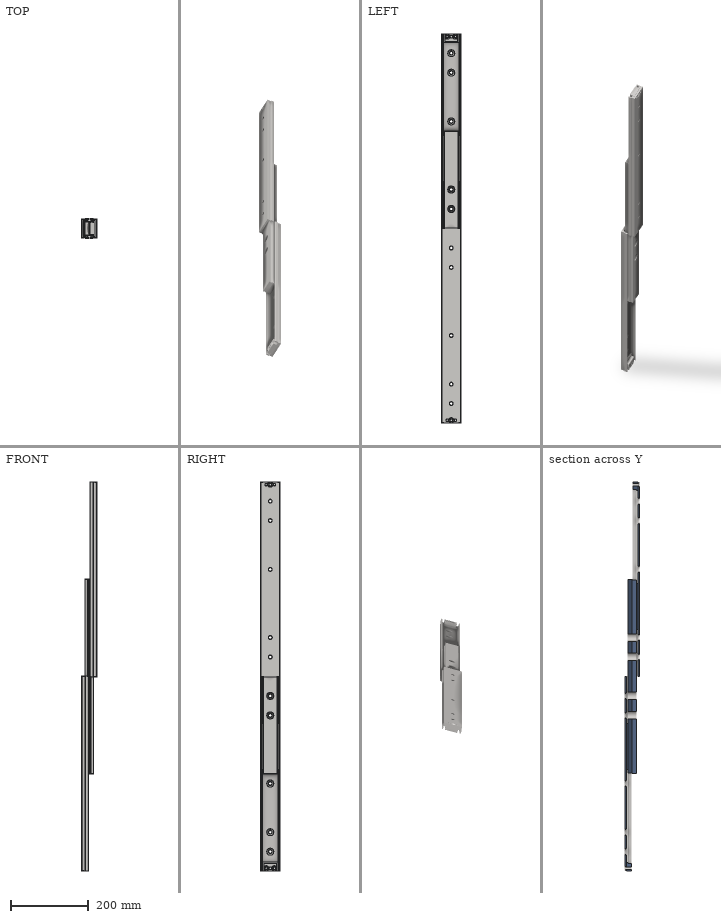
import cadquery as cq


TOTAL_LENGTH = 1000.0
TOTAL_DEPTH = 39.0
TOTAL_WIDTH = 51.0
HALF_LENGTH = TOTAL_LENGTH / 2
STOP_OVERHANG = 1.0

RAIL_DEPTH = TOTAL_DEPTH / 2
RAIL_HALF_WIDTH = TOTAL_WIDTH / 2
WEB_THICKNESS = 5.0
WEB_INNER = RAIL_DEPTH - WEB_THICKNESS
LIP_DEPTH = 1.5
LIP_BEVEL_END = 3.5
LIP_HALF_WIDTH = RAIL_HALF_WIDTH - 0.5
MOUTH_HALF_WIDTH = 22.0
CHANNEL_HALF_WIDTH = 20.0
GROOVE_TOP = 9.5
GROOVE_ROOT = GROOVE_TOP + 1.0
GROOVE_END = RAIL_DEPTH - 2.0
GROOVE_ROOT_HALF_WIDTH = RAIL_HALF_WIDTH - 1.9
WEB_HALF_WIDTH = RAIL_HALF_WIDTH - 1.2

RAIL_HOLES = (50.0, 100.0, 225.0, 400.0, 450.0)
RAIL_HOLE_DIAMETER = 9.0
RAIL_SINK_DIAMETER = 18.0

MEMBER_LENGTH = 499.0
MEMBER_TOP = 750.0
MEMBER_DEPTH = 11.0
MEMBER_FACE_WIDTH = 35.0
MEMBER_FACE_HALF_WIDTH = MEMBER_FACE_WIDTH / 2
MEMBER_RIM_DEPTH = 2.5
MEMBER_RIM_HALF_WIDTH = MEMBER_FACE_HALF_WIDTH + 1.0
MEMBER_ROOT_DEPTH = 4.7
MEMBER_ROOT_HALF_WIDTH = MEMBER_FACE_HALF_WIDTH - 0.6
MEMBER_FLANK_DEPTH = 8.5
MEMBER_FLANK_HALF_WIDTH = MEMBER_FACE_HALF_WIDTH - 0.5
ACCESS_HOLES = (400.0, 450.0, 550.0, 600.0)
ACCESS_HOLE_DIAMETER = 18.0

CAGE_LEG_TIP = 4.0
CAGE_LEG_INNER = 18.0
CAGE_BACK_INNER = 12.0
CAGE_BACK_OUTER = 14.0
CAGE_BOTTOM = 260.0
CAGE_LENGTH = 120.0

PLATE_HALF_WIDTH = 20.0
PLATE_LENGTH = 23.0
PLATE_INNER = 10.0
BUFFER_HALF_WIDTH = 16.0
BUFFER_LENGTH = 20.0
STOP_HOLE_HEIGHT = 7.5
STOP_HOLE_SPACING = 21.0
STOP_HOLE_OFFSET = STOP_HOLE_SPACING / 2
STOP_HOLE_DIAMETER = 6.0
STOP_SINK_DIAMETER = 13.0


def symmetric_prism(half_outline, length):
    """Extrude along Z the outline whose +Y half is given from the mid-line round to it."""
    return half_outline.mirrorX().extrude(length)


def hole_along_x(diameter, y, z):
    """Cylinder crossing the whole slide along X."""
    hole = cq.Workplane("YZ").center(y, z).circle(diameter / 2)
    return hole.extrude(RAIL_DEPTH, both=True)


def countersink(hole_diameter, sink_diameter, face_x, direction, y, z):
    """45 degree cone: full size at face_x, narrowing to the hole along +X or -X."""
    cone = cq.Solid.makeCone(
        sink_diameter / 2,
        hole_diameter / 2,
        (sink_diameter - hole_diameter) / 2,
        pnt=cq.Vector(face_x, y, z),
        dir=cq.Vector(direction, 0, 0),
    )
    return cq.Workplane(cone)


def drill_stop_holes(body):
    """Two side holes and a middle hole through the end of a rail and its stop."""
    for y in (-STOP_HOLE_OFFSET, 0, STOP_HOLE_OFFSET):
        body = body.cut(hole_along_x(STOP_HOLE_DIAMETER, y, STOP_HOLE_HEIGHT))
    return body


def make_rail():
    """Lower rail: channel with its web on the -X side, open towards +X."""
    half_outline = (
        cq.Workplane("XY")
        .moveTo(-RAIL_DEPTH, 0)
        .lineTo(-RAIL_DEPTH, WEB_HALF_WIDTH)
        .lineTo(-GROOVE_END, WEB_HALF_WIDTH)
        .lineTo(-GROOVE_ROOT, GROOVE_ROOT_HALF_WIDTH)
        .lineTo(-GROOVE_TOP, RAIL_HALF_WIDTH)
        .lineTo(-LIP_BEVEL_END, RAIL_HALF_WIDTH)
        .lineTo(-LIP_DEPTH, LIP_HALF_WIDTH)
        .lineTo(-LIP_DEPTH, MOUTH_HALF_WIDTH)
        .lineTo(-GROOVE_TOP, MOUTH_HALF_WIDTH)
        .lineTo(-GROOVE_ROOT, CHANNEL_HALF_WIDTH)
        .lineTo(-WEB_INNER, CHANNEL_HALF_WIDTH)
        .lineTo(-WEB_INNER, 0)
    )
    rail = symmetric_prism(half_outline, HALF_LENGTH).translate((0, 0, STOP_OVERHANG))
    for z in RAIL_HOLES:
        rail = rail.cut(hole_along_x(RAIL_HOLE_DIAMETER, 0, z))
        rail = rail.cut(countersink(RAIL_HOLE_DIAMETER, RAIL_SINK_DIAMETER, -WEB_INNER, -1, 0, z))
    rail = drill_stop_holes(rail)
    return rail.cut(
        countersink(STOP_HOLE_DIAMETER, STOP_SINK_DIAMETER, -RAIL_DEPTH, 1, 0, STOP_HOLE_HEIGHT)
    )


def make_member():
    """Middle member that runs in the lower rail, its back on the mid-plane."""
    half_outline = (
        cq.Workplane("XY")
        .moveTo(0, 0)
        .lineTo(0, MEMBER_RIM_HALF_WIDTH)
        .lineTo(-MEMBER_RIM_DEPTH, MEMBER_RIM_HALF_WIDTH)
        .lineTo(-MEMBER_ROOT_DEPTH, MEMBER_ROOT_HALF_WIDTH)
        .threePointArc(
            (-MEMBER_FLANK_DEPTH, MEMBER_FLANK_HALF_WIDTH),
            (-MEMBER_DEPTH, MEMBER_FACE_HALF_WIDTH),
        )
        .lineTo(-MEMBER_DEPTH, 0)
    )
    member = symmetric_prism(half_outline, MEMBER_LENGTH).translate((0, 0, MEMBER_TOP - MEMBER_LENGTH))
    for z in ACCESS_HOLES:
        member = member.cut(hole_along_x(ACCESS_HOLE_DIAMETER, 0, z))
    return member


def make_cage():
    """Ball cage of the lower slide: legs beside the member, back between member and web."""
    half_outline = (
        cq.Workplane("XY")
        .moveTo(-CAGE_BACK_OUTER, 0)
        .lineTo(-CAGE_BACK_OUTER, CHANNEL_HALF_WIDTH)
        .lineTo(-GROOVE_ROOT, CHANNEL_HALF_WIDTH)
        .lineTo(-GROOVE_TOP, MOUTH_HALF_WIDTH)
        .lineTo(-CAGE_LEG_TIP, MOUTH_HALF_WIDTH)
        .lineTo(-CAGE_LEG_TIP, CAGE_LEG_INNER)
        .lineTo(-CAGE_BACK_INNER, CAGE_LEG_INNER)
        .lineTo(-CAGE_BACK_INNER, 0)
    )
    return symmetric_prism(half_outline, CAGE_LENGTH).translate((0, 0, CAGE_BOTTOM))


def make_stop():
    """End stop of the lower rail: plate against the web, buffer level with the lips."""
    plate = cq.Workplane("XY").box(
        WEB_INNER - PLATE_INNER, 2 * PLATE_HALF_WIDTH, PLATE_LENGTH, centered=(False, True, False)
    )
    buffer = cq.Workplane("XY").box(
        PLATE_INNER - LIP_DEPTH, 2 * BUFFER_HALF_WIDTH, BUFFER_LENGTH, centered=(False, True, False)
    )
    stop = plate.translate((-WEB_INNER, 0, 0)).union(buffer.translate((-PLATE_INNER, 0, 0)))
    stop = drill_stop_holes(stop)
    for y in (-STOP_HOLE_OFFSET, STOP_HOLE_OFFSET):
        stop = stop.cut(
            countersink(STOP_HOLE_DIAMETER, STOP_SINK_DIAMETER, -LIP_DEPTH, -1, y, STOP_HOLE_HEIGHT)
        )
    return stop


def turned_to_upper_half(body):
    """Copy of a lower body turned half a turn about the Y direction through mid-length."""
    return body.rotate((0, 0, HALF_LENGTH), (0, 1, HALF_LENGTH), 180)


bodies = []
for make_body in (make_rail, make_member, make_cage, make_stop):
    lower_body = make_body()
    bodies.append(lower_body.val())
    bodies.append(turned_to_upper_half(lower_body).val())

result = cq.Compound.makeCompound(bodies)